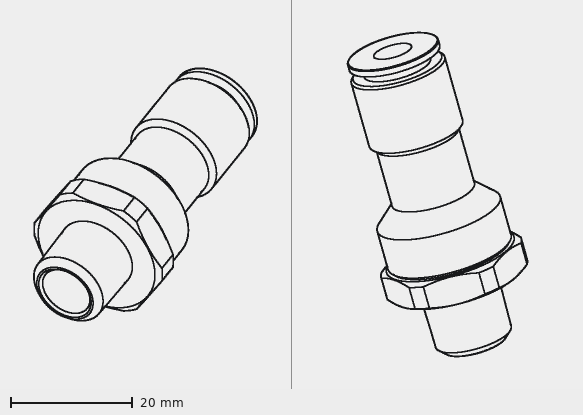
import cadquery as cq
import math

length = 52.65

collar_radius = 7.75
collar_thickness = 1.15
collar_bevel = 0.15
neck_radius = 5.7

socket_radius = 8.0
socket_end = 49.7
socket_bevel = 0.4
socket_start = 37.85
waist_radius = 7.05
waist_start = 26.85
shoulder_radius = 10.55
shoulder_start = 16.0
shoulder_bevel = 0.5

hex_across_flats = 22.0
hex_turned_diameter = 23.95
hex_turned_radius = hex_turned_diameter / 2
hex_face_radius = 10.9
hex_start = 11.0
hex_bevel_length = 0.6

spigot_root_radius = 6.7
spigot_end_radius = 6.5
spigot_bevel = 1.2

entry_radius = 4.4
entry_bevel = 0.5
entry_depth = 10.55
drill_half_angle = 60
bore_radius = 3.2


def revolve_profile(points):
    """Revolve a closed (radius, Y) outline about the Y axis."""
    return cq.Workplane("XY").polyline(points).close().revolve(360, (0, 0, 0), (0, 1, 0))


def make_spigot():
    return revolve_profile([
        (0, 0),
        (spigot_end_radius - spigot_bevel, 0),
        (spigot_end_radius, spigot_bevel),
        (spigot_root_radius, hex_start),
        (0, hex_start),
    ])


def make_hex():
    """Hexagon with flats facing +Z and -Z, its corners turned round and bevelled at both ends."""
    thickness = shoulder_start - hex_start
    across_corners = hex_across_flats / math.cos(math.radians(30))
    prism = (
        cq.Workplane("XZ", origin=(0, shoulder_start, 0))
        .polygon(6, across_corners)
        .extrude(thickness)
    )
    turned = revolve_profile([
        (0, hex_start),
        (hex_face_radius, hex_start),
        (hex_turned_radius, hex_start + hex_bevel_length),
        (hex_turned_radius, shoulder_start - hex_bevel_length),
        (hex_face_radius, shoulder_start),
        (0, shoulder_start),
    ])
    return prism.intersect(turned)


def make_body():
    """Shoulder, waist and tube socket joined by 45 degree cones."""
    shoulder_end = waist_start - (shoulder_radius - waist_radius)
    waist_end = socket_start - (socket_radius - waist_radius)
    return revolve_profile([
        (0, shoulder_start),
        (shoulder_radius - shoulder_bevel, shoulder_start),
        (shoulder_radius, shoulder_start + shoulder_bevel),
        (shoulder_radius, shoulder_end),
        (waist_radius, waist_start),
        (waist_radius, waist_end),
        (socket_radius, socket_start),
        (socket_radius, socket_end - socket_bevel),
        (socket_radius - socket_bevel, socket_end),
        (0, socket_end),
    ])


def make_collar():
    collar_start = length - collar_thickness
    return revolve_profile([
        (0, socket_end),
        (neck_radius, socket_end),
        (neck_radius, collar_start),
        (collar_radius, collar_start),
        (collar_radius, length - collar_bevel),
        (collar_radius - collar_bevel, length),
        (0, length),
    ])


def make_bore():
    """Bevelled entry bore ending in a drill-point cone that leads to the through hole."""
    cone_length = (entry_radius - bore_radius) * math.tan(math.radians(90 - drill_half_angle))
    return revolve_profile([
        (0, 0),
        (entry_radius + entry_bevel, 0),
        (entry_radius, entry_bevel),
        (entry_radius, entry_depth),
        (bore_radius, entry_depth + cone_length),
        (bore_radius, length),
        (0, length),
    ])


outside = make_spigot().union(make_hex()).union(make_body()).union(make_collar())
result = outside.cut(make_bore())